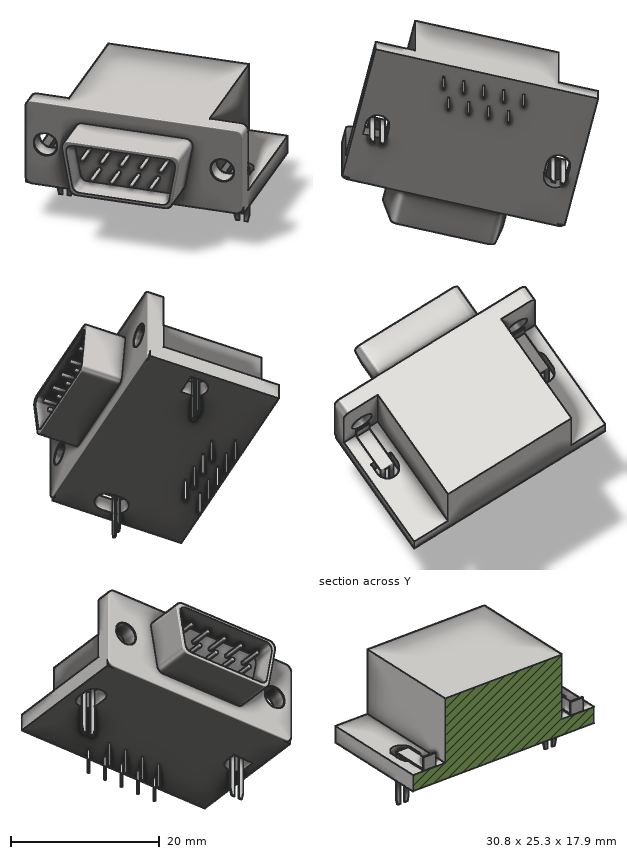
import cadquery as cq
import math


width = 30.8
height = 12.5
depth = 19.53
block_width = 19.9
ledge_height = 2.55
corner_radius = 1.0

plate_thickness = 0.35
plate_edge_fillet = 0.15
flange_back = 2.37
mid_height = height / 2
mount_x = 12.5
mount_hole_diameter = 3.2
mount_hole_edge = 0.1

shell_length = 5.75
shell_height = 7.95
shell_top_width = 17.03
shell_slope = 10.0
shell_radius = 1.02
shell_wall = 0.5
shell_inner_radius = 1.05
shell_floor = 2.15
shell_rim_fillet = 0.1

contact_pitch = 2.77
contact_row_gap = 2.83
contact_diameter = 0.6
contact_tip_fillet = 0.2
contact_length = 3.42
tail_diameter = 0.3
tail_length = 3.85
tail_tip_chamfer = 0.05
tail_back_y = 17.65
tail_front_y = 14.85
long_row_count = 5
short_row_count = 4

bracket_width = 2.1
bracket_thickness = 0.22
bracket_gap = 0.1
bracket_bend_radius = 0.12
bracket_back_y = 8.62
bracket_top = 4.62
leg_bottom = -5.4
leg_gap = 0.7
leg_taper_height = 0.9
leg_taper_width = 0.22
slot_diameter = 3.2
slot_back_center_y = 8.6
slot_front_center_y = 7.02

overlap = 0.3


def box(x_min, x_max, y_min, y_max, z_min, z_max):
    """Box between two opposite corners."""
    size = (x_max - x_min, y_max - y_min, z_max - z_min)
    return cq.Workplane("XY").box(*size, centered=False).translate((x_min, y_min, z_min))


def make_housing():
    """Central block, low side ledges and the front flange with rounded top corners."""
    half = width / 2
    ledge = box(-half, half, plate_thickness, depth, 0, ledge_height)
    block = box(-block_width / 2, block_width / 2, plate_thickness, depth, 0, height)
    flange = box(-half, half, plate_thickness, flange_back, 0, height)
    flange = flange.edges("|Y and >Z").fillet(corner_radius)
    return flange.union(ledge).union(block)


def make_plate():
    """Front plate with four rounded corners and a softened front edge."""
    plate = box(-width / 2, width / 2, 0, plate_thickness, 0, height)
    return plate.edges("|Y").fillet(corner_radius).faces("<Y").edges().fillet(plate_edge_fillet)


def shell_prism(inset, radius, start):
    """Rounded trapezoid, inset from the shell's outside, from a start distance forward to the rim."""
    slope = math.radians(shell_slope)
    half_height = shell_height / 2 - inset
    middle = shell_top_width / 2 - shell_height / 2 * math.tan(slope) - inset / math.cos(slope)
    top = middle + half_height * math.tan(slope)
    bottom = middle - half_height * math.tan(slope)
    corners = [(-top, half_height), (top, half_height), (bottom, -half_height), (-bottom, -half_height)]
    prism = cq.Workplane("XZ", origin=(0, -start, mid_height)).polyline(corners).close()
    prism = prism.extrude(shell_length - start)
    return prism.edges("|Y").fillet(radius)


def make_shell():
    """Shell open at the front, with an insulator filling it up to the floor."""
    outside = shell_prism(0, shell_radius, 0).faces("<Y").edges().fillet(shell_rim_fillet)
    return outside.cut(shell_prism(shell_wall, shell_inner_radius, shell_floor))


def row_positions(count):
    """X positions of a row of contacts centred on the part."""
    return [(i - (count - 1) / 2) * contact_pitch for i in range(count)]


def make_contact(x, z):
    """Contact standing forward from the shell floor, with a rounded tip."""
    pin = cq.Workplane("XZ", origin=(x, overlap - shell_floor, z)).circle(contact_diameter / 2)
    return pin.extrude(overlap + contact_length).faces("<Y").edges().fillet(contact_tip_fillet)


def make_tail(x, y):
    """Thin solder tail hanging below the housing."""
    pin = cq.Workplane("XY", origin=(x, y, overlap)).circle(tail_diameter / 2)
    return pin.extrude(-overlap - tail_length).faces("<Z").chamfer(tail_tip_chamfer)


def make_bracket(x):
    """Strap bent up just behind the flange and down into a forked board-lock leg."""
    left = x - bracket_width / 2
    right = x + bracket_width / 2
    strap_top = ledge_height + bracket_thickness
    front = flange_back + bracket_gap
    upright = box(left, right, front, front + bracket_thickness, ledge_height, bracket_top)
    strap = box(left, right, front, bracket_back_y, ledge_height, strap_top)
    strap = strap.edges("|X and >Y and >Z").fillet(bracket_bend_radius)
    leg = (
        cq.Workplane("XZ", origin=(x, bracket_back_y, 0))
        .moveTo(-bracket_width / 2, ledge_height)
        .lineTo(-bracket_width / 2, leg_bottom + leg_taper_height)
        .lineTo(-bracket_width / 2 + leg_taper_width, leg_bottom)
        .lineTo(bracket_width / 2 - leg_taper_width, leg_bottom)
        .lineTo(bracket_width / 2, leg_bottom + leg_taper_height)
        .lineTo(bracket_width / 2, ledge_height)
        .close()
        .extrude(bracket_thickness)
    )
    fork = box(x - leg_gap / 2, x + leg_gap / 2, 0, depth, leg_bottom, ledge_height - bracket_thickness)
    return upright.union(strap).union(leg.cut(fork))


def slot_cylinder(x, y):
    """Round end of a bracket slot."""
    return cq.Workplane("XY", origin=(x, y, 0)).circle(slot_diameter / 2).extrude(ledge_height)


def make_slot(x):
    """Slot through the ledge; rounded at the back, square at the front."""
    radius = slot_diameter / 2
    straight = box(x - radius, x + radius, slot_front_center_y, slot_back_center_y, 0, ledge_height)
    return straight.union(slot_cylinder(x, slot_back_center_y))


def make_mount_hole(x):
    """Screw hole through plate and flange, with a broken front edge."""
    radius = mount_hole_diameter / 2
    start = cq.Workplane("XZ", origin=(x, 0, mid_height))
    hole = start.circle(radius).extrude(-flange_back)
    edge = cq.Solid.makeCone(
        radius + mount_hole_edge, radius, mount_hole_edge, cq.Vector(x, 0, mid_height), cq.Vector(0, 1, 0)
    )
    return hole.union(cq.Workplane(obj=edge))


result = make_housing().union(make_plate()).union(make_shell())

for side in (-1, 1):
    result = result.cut(make_slot(side * mount_x)).cut(make_mount_hole(side * mount_x))

result = result.cut(slot_cylinder(-mount_x, slot_front_center_y))

for side in (-1, 1):
    result = result.union(make_bracket(side * mount_x))

for x in row_positions(long_row_count):
    result = result.union(make_contact(x, mid_height + contact_row_gap / 2))
    result = result.union(make_tail(x, tail_back_y))

for x in row_positions(short_row_count):
    result = result.union(make_contact(x, mid_height - contact_row_gap / 2))
    result = result.union(make_tail(x, tail_front_y))